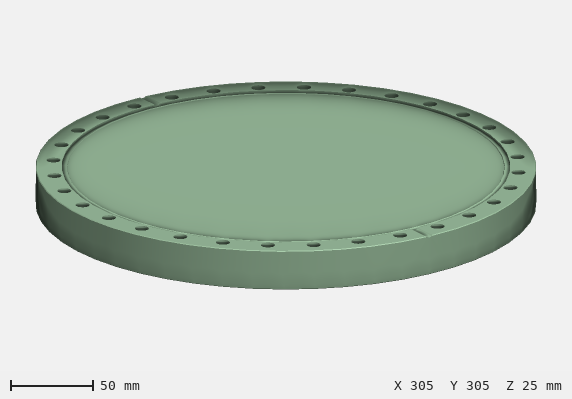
import cadquery as cq
import math

flange_diameter = 305.0
thickness = 25.0
rim_chamfer = 0.45

recess_diameter = 273.3
knife_diameter = 266.5
floor_diameter = 266.0
knife_depth = 0.5
knife_slope = 20.0
floor_depth = 1.2

bolt_count = 32
bolt_circle_diameter = 284.0
bolt_hole_diameter = 8.5

groove_width = 4.5
groove_depth = 1.07


def make_body():
    """Revolve the half section of the flange with its recess and knife edge."""
    flange_radius = flange_diameter / 2
    knife_radius = knife_diameter / 2
    recess_radius = recess_diameter / 2
    slope_drop = (recess_radius - knife_radius) * math.tan(math.radians(knife_slope))
    floor_z = thickness - floor_depth
    knife_z = thickness - knife_depth
    return (
        cq.Workplane("XZ")
        .lineTo(flange_radius - rim_chamfer, 0)
        .lineTo(flange_radius, rim_chamfer)
        .lineTo(flange_radius, thickness - rim_chamfer)
        .lineTo(flange_radius - rim_chamfer, thickness)
        .lineTo(recess_radius, thickness)
        .lineTo(recess_radius, knife_z - slope_drop)
        .lineTo(knife_radius, knife_z)
        .lineTo(floor_diameter / 2, floor_z)
        .lineTo(0, floor_z)
        .close()
        .revolve(360, (0, 0, 0), (0, 1, 0))
    )


def make_bolt_holes():
    """Through holes, set half a pitch away from the X axis."""
    half_pitch = 180 / bolt_count
    return (
        cq.Workplane("XY")
        .polarArray(bolt_circle_diameter / 2, half_pitch, 360, bolt_count)
        .circle(bolt_hole_diameter / 2)
        .extrude(thickness)
    )


def make_leak_grooves():
    """Circular-arc grooves along X, limited to the rim outside the recess."""
    groove_radius = (groove_width**2 / 4 + groove_depth**2) / (2 * groove_depth)
    bar = (
        cq.Workplane("YZ")
        .center(0, thickness - groove_depth + groove_radius)
        .circle(groove_radius)
        .extrude(flange_diameter / 2, both=True)
    )
    recess_core = cq.Workplane("XY").circle(recess_diameter / 2).extrude(2 * thickness)
    return bar.cut(recess_core)


result = make_body().cut(make_bolt_holes()).cut(make_leak_grooves())